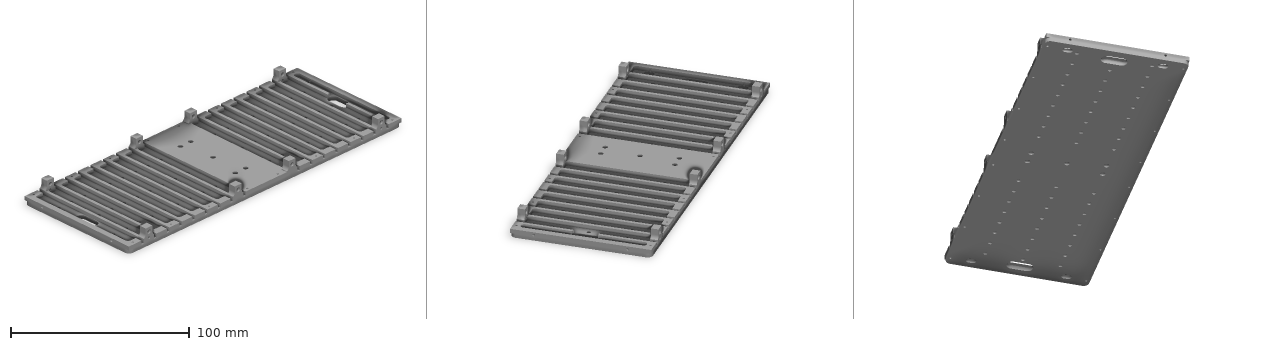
import cadquery as cq
import math

LENGTH = 214.0
WIDTH = 83.0
HEIGHT = 11.5
PLATE_THICKNESS = 5.1
FLOOR = 2.5

CORNER_RADIUS = 3.2
CORNER_HEIGHT = 2.5

BLOCK_LENGTH = 4.5
SLOT_WIDTH = 2.0
POCKET_CORNER_RADIUS = 1.7
REAR_BAY_COUNT = 8
FRONT_BAY_COUNT = 9

INNER_POST_Y = 21.2
OUTER_POST_Y = 91.2
BAYS_BETWEEN_POSTS = 7
POST_WIDTH = 5.4
POST_FILLET = 2.8
POST_HOLE_DIAMETER = 2.5
POST_HOLE_Z = 8.5
ROD_HOLE_DIAMETER = 1.7
ROD_HOLE_Z = 4.7

HOLE_COLUMN_SPACING = 21.8
BAY_HOLE_DIAMETER = 2.4
BAY_HOLE_SETBACK = 4.7

PANEL_HOLE_DIAMETER = 3.2
PANEL_HOLE_Y = 4.0

EDGE_HOLE_DIAMETER = 1.3
EDGE_HOLE_X = 39.4
EDGE_HOLE_FIRST_Y = 12.0
EDGE_HOLE_PITCH = 30.0
EDGE_HOLES_PER_QUARTER = 4

END_POCKET_WIDTH = 4.0

HANDLE_Y = 98.9
HANDLE_LENGTH = 15.5
HANDLE_WIDTH = 6.6
NUT_SLOT_X = 27.5
NUT_SLOT_Y = 101.2
NUT_SLOT_LENGTH = 6.0
NUT_SLOT_WIDTH = 3.6
END_HOLE_DIAMETER = 1.5
END_HOLE_Z = 3.5

SIDES = (-1, 1)
bay_pitch = (OUTER_POST_Y - INNER_POST_Y) / BAYS_BETWEEN_POSTS
block_width = bay_pitch - SLOT_WIDTH
pocket_width = block_width
pocket_length = WIDTH - 2 * BLOCK_LENGTH

block_setback = SLOT_WIDTH + block_width / 2
rear_bays = [INNER_POST_Y + block_setback + i * bay_pitch for i in range(REAR_BAY_COUNT)]
front_bays = [-INNER_POST_Y + block_setback - i * bay_pitch for i in range(FRONT_BAY_COUNT)]
bays = rear_bays + front_bays


def slab(x_size, y_size, y_centre, z_low, z_high):
    return (
        cq.Workplane("XY", origin=(0, y_centre, z_low))
        .rect(x_size, y_size)
        .extrude(z_high - z_low)
    )


def mirrored_points(x, y):
    return [(side_x * x, side_y * y) for side_x in SIDES for side_y in SIDES]


def vertical_holes(points, diameter):
    return cq.Workplane("XY").pushPoints(points).circle(diameter / 2).extrude(PLATE_THICKNESS)


def cross_hole(y, z, diameter):
    return cq.Workplane("YZ", origin=(0, y, z)).circle(diameter / 2).extrude(WIDTH / 2, both=True)


def vertical_slots(points, length, width):
    return cq.Workplane("XY").pushPoints(points).slot2D(length, width).extrude(PLATE_THICKNESS)


def plate():
    lower = slab(WIDTH, LENGTH, 0, 0, CORNER_HEIGHT).edges("|Z").fillet(CORNER_RADIUS)
    return lower.union(slab(WIDTH, LENGTH, 0, CORNER_HEIGHT, PLATE_THICKNESS))


def bay(rear_wall):
    slot = slab(WIDTH, SLOT_WIDTH, rear_wall - SLOT_WIDTH / 2, FLOOR, PLATE_THICKNESS)
    pocket = slab(pocket_length, pocket_width, rear_wall - pocket_width / 2, FLOOR, PLATE_THICKNESS)
    return slot.union(pocket.edges("|Z and <Y").fillet(POCKET_CORNER_RADIUS))


def end_pocket():
    front_wall = rear_bays[-1] + bay_pitch - pocket_width
    y_centre = front_wall + END_POCKET_WIDTH / 2
    pocket = slab(pocket_length, END_POCKET_WIDTH, y_centre, FLOOR, PLATE_THICKNESS)
    return pocket.edges("|Z").fillet(POCKET_CORNER_RADIUS)


def post_pair(y):
    """Two posts whose flared feet end at the sides of their edge blocks."""
    half_post = POST_WIDTH / 2
    half_foot = block_width / 2
    fillet_top = PLATE_THICKNESS + POST_FILLET
    foot_reach = half_foot - half_post
    foot_z = fillet_top - math.sqrt(POST_FILLET**2 - (POST_FILLET - foot_reach) ** 2)
    middle_y = half_post + foot_reach / 2
    middle_z = fillet_top - math.sqrt(POST_FILLET**2 - (POST_FILLET - foot_reach / 2) ** 2)
    post = (
        cq.Workplane("YZ", origin=(-WIDTH / 2, y, 0))
        .moveTo(-half_foot, FLOOR)
        .lineTo(half_foot, FLOOR)
        .lineTo(half_foot, foot_z)
        .threePointArc((middle_y, middle_z), (half_post, fillet_top))
        .lineTo(half_post, HEIGHT)
        .lineTo(-half_post, HEIGHT)
        .lineTo(-half_post, fillet_top)
        .threePointArc((-middle_y, middle_z), (-half_foot, foot_z))
        .close()
        .extrude(BLOCK_LENGTH)
    )
    return post.union(post.mirror("YZ"))


def end_holes(side):
    """Holes running from one end face into the two nut slots."""
    depth = LENGTH / 2 - NUT_SLOT_Y
    return (
        cq.Workplane("XZ", origin=(0, side * LENGTH / 2, END_HOLE_Z))
        .pushPoints([(-NUT_SLOT_X, 0), (NUT_SLOT_X, 0)])
        .circle(END_HOLE_DIAMETER / 2)
        .extrude(side * depth)
    )


result = plate().cut(end_pocket())
for rear_wall in bays:
    result = result.cut(bay(rear_wall))

for post_y in (-OUTER_POST_Y, -INNER_POST_Y, INNER_POST_Y, OUTER_POST_Y):
    result = result.union(post_pair(post_y))
    result = result.cut(cross_hole(post_y, POST_HOLE_Z, POST_HOLE_DIAMETER))
for side in SIDES:
    result = result.cut(cross_hole(side * OUTER_POST_Y, ROD_HOLE_Z, ROD_HOLE_DIAMETER))

hole_columns = (-HOLE_COLUMN_SPACING, 0, HOLE_COLUMN_SPACING)
bay_hole_points = [(x, rear_wall - BAY_HOLE_SETBACK) for rear_wall in bays for x in hole_columns]
result = result.cut(vertical_holes(bay_hole_points, BAY_HOLE_DIAMETER))

panel_hole_points = [(0, 0)] + mirrored_points(HOLE_COLUMN_SPACING, PANEL_HOLE_Y)
result = result.cut(vertical_holes(panel_hole_points, PANEL_HOLE_DIAMETER))

for i in range(EDGE_HOLES_PER_QUARTER):
    edge_hole_points = mirrored_points(EDGE_HOLE_X, EDGE_HOLE_FIRST_Y + i * EDGE_HOLE_PITCH)
    result = result.cut(vertical_holes(edge_hole_points, EDGE_HOLE_DIAMETER))

handle_points = [(0, side * HANDLE_Y) for side in SIDES]
result = result.cut(vertical_slots(handle_points, HANDLE_LENGTH, HANDLE_WIDTH))

nut_slot_points = mirrored_points(NUT_SLOT_X, NUT_SLOT_Y)
result = result.cut(vertical_slots(nut_slot_points, NUT_SLOT_LENGTH, NUT_SLOT_WIDTH))
for side in SIDES:
    result = result.cut(end_holes(side))